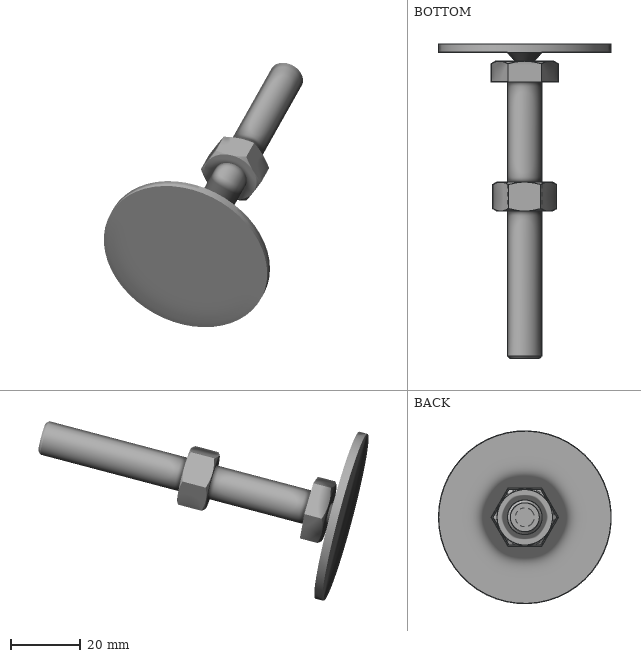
import cadquery as cq
import math

total_length = 91.0

plate_diameter = 50.0
plate_thickness = 2.5

rod_diameter = 10.0
rod_end_chamfer = 0.8
neck_diameter = 5.5
collar_start = 5.0
collar_end = 11.0
collar_across_flats = 16.8

nut_start = 39.95
nut_end = 48.3
nut_across_flats = 16.0

corner_chamfer_angle = 30.0


def cylinder(diameter, start, end):
    """Cylinder about the Y axis between two Y positions."""
    section = cq.Workplane("XZ", origin=(0, start, 0)).circle(diameter / 2)
    return section.extrude(start - end)


def corner_cone(across_flats, start, end, chamfer_far_end):
    """Turned envelope whose chamfered end circles touch the hexagon flats."""
    flat_radius = across_flats / 2
    corner_radius = flat_radius / math.cos(math.pi / 6)
    chamfer_depth = (corner_radius - flat_radius) * math.tan(math.radians(corner_chamfer_angle))
    profile = (
        cq.Workplane("XY")
        .moveTo(0, start)
        .lineTo(flat_radius, start)
        .lineTo(corner_radius, start + chamfer_depth)
    )
    if chamfer_far_end:
        profile = profile.lineTo(corner_radius, end - chamfer_depth).lineTo(flat_radius, end)
    else:
        profile = profile.lineTo(corner_radius, end)
    return profile.lineTo(0, end).close().revolve(360, (0, 0, 0), (0, 1, 0))


def hexagon(across_flats, start, end, chamfer_far_end):
    """Hexagonal prism along Y with corners on the X axis and chamfered corners."""
    across_corners = across_flats / math.cos(math.pi / 6)
    prism = (
        cq.Workplane("XZ", origin=(0, start, 0))
        .polygon(6, across_corners)
        .extrude(start - end)
    )
    return prism.intersect(corner_cone(across_flats, start, end, chamfer_far_end))


def make_plate():
    return cylinder(plate_diameter, 0, plate_thickness)


def make_stud():
    foot = (
        cq.Workplane("XY")
        .moveTo(0, plate_thickness)
        .lineTo(rod_diameter / 2, plate_thickness)
        .lineTo(neck_diameter / 2, collar_start)
        .lineTo(0, collar_start)
        .close()
        .revolve(360, (0, 0, 0), (0, 1, 0))
    )
    collar = hexagon(collar_across_flats, collar_start, collar_end, chamfer_far_end=False)
    rod = cylinder(rod_diameter, collar_end, total_length).faces(">Y").chamfer(rod_end_chamfer)
    return foot.union(collar).union(rod)


def make_nut():
    blank = hexagon(nut_across_flats, nut_start, nut_end, chamfer_far_end=True)
    return blank.cut(cylinder(rod_diameter, nut_start, nut_end))


plate = make_plate()
stud = make_stud()
nut = make_nut()

result = cq.Compound.makeCompound([plate.val(), stud.val(), nut.val()])